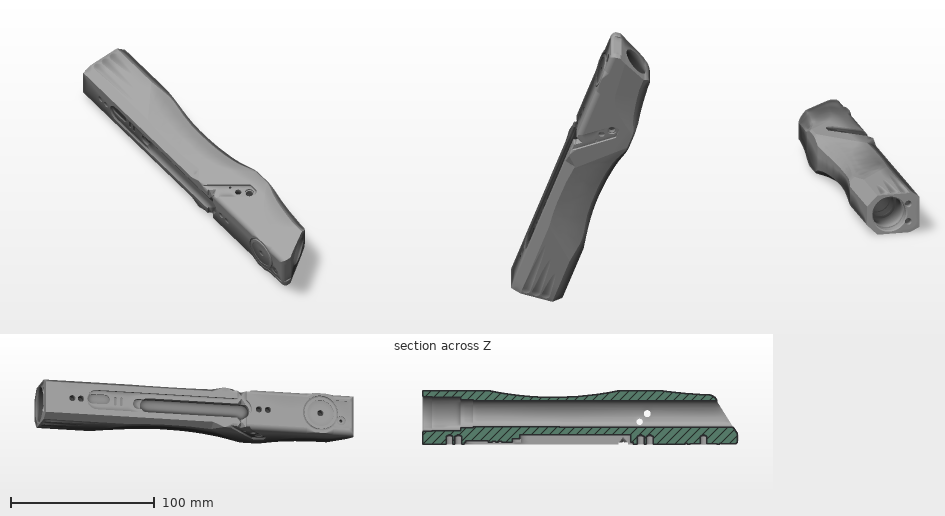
import cadquery as cq
import math

LENGTH = 220.2
DEPTH = 37.7
HEIGHT = 28.6
HALF_HEIGHT = HEIGHT / 2
CLEAR = 4.5

GRIP_START_X = 46.7
GRIP_END_X = 136.8
GRIP_MID_Y = 33.0
SHOULDER_X = 166.5
TAIL_MID = (181.7, 36.0)
TAIL_END = (197.3, 34.8)
SLANT_ROUND_MID = (203.0, 33.5)
SLANT_TOP = (205.7, 29.3)
NOSE_TOP = (217.0, 11.5)
NOSE_Y = 6.5
NOSE_RADIUS = 4.0

CHAMFER_SLOPE = 1.0
BLOCK_CREST_Y = 30.2
HUMP_CREST_Y = 36.1
CHAMFER_CREST = [
    (53.5, BLOCK_CREST_Y), (61.7, 29.0), (74.9, 26.2), (91.8, 24.9), (119.0, 27.0),
    (GRIP_END_X, 32.4), (146.5, HUMP_CREST_Y), (152.0, HUMP_CREST_Y), (158.5, HUMP_CREST_Y), (167.4, 32.8),
    (178.4, 29.5), (189.4, 27.5), (196.9, 26.6),
]
FLANK_SLOPE = 0.1
FLANK_START = (156.4, 38.8)
FLANK_CREST = [(158.5, 36.1), (167.4, 26.2), (177.3, 18.0), (189.0, 13.5)]
FLANK_END_Y = 10.8

WAIST_LOW_Y = 2.2
WAIST_LOW = (67.5, 113.0, 0.2)
WAIST_HIGH_Y = 38.5
WAIST_HIGH = (29.3, 149.0, 5.5)

CHAMFER_Y = 6.8
CHAMFER_Z = 3.3
CHAMFER_END_X = 119.4
CHAMFER_RUNOUT_X = 126.6
ROUND_Y = 4.0
ROUND_Z = 3.3
ROUND_START_X = 134.0
RUNOUT_LENGTH = 5.7
RUNOUT_SHARE = 0.05

BORE_Y = 21.4
BORE_DIAMETER = 17.8
COUNTERBORES = [(23.8, 6.5), (23.0, 26.5), (19.2, 35.2)]
BORE_MOUTH_DIAMETER = 25.5
END_HOLE_DIAMETER = 4.8
END_HOLE_Y = 8.0
END_HOLE_Z = 6.4
END_HOLE_DEPTH = 17.6

FLUTE_RADIUS = 5.7
FLUTE_DEPTH = 0.9
FLUTE_START_X = 4.5
FLUTES = [(24.0, 24.2), (17.0, 35.2), (9.7, 46.2)]

TRACK_X = (29.5, 146.7)
TRACK_WIDTH = 13.9
TRACK_DEPTH = 1.5
SLIDE_X = (67.8, 145.3)
SLIDE_WIDTH = 10.5
SLIDE_Z = (SLIDE_WIDTH - TRACK_WIDTH) / 2
SLIDE_DEPTH = 6.5
STEP_X = (62.5, 74.9)
STEP_WIDTH = 7.0
STEP_Z = -0.9
STEP_DEPTH = 4.0
WINDOW_X = (30.2, 45.8)
WINDOW_WIDTH = 6.8
WINDOW_Z = 0.9
WINDOW_DEPTH = 2.6
MARK_XS = (49.8, 54.2)
MARK_LENGTH = 6.2
MARK_WIDTH = 2.0
MARK_DEPTH = 2.2
PIN_HOLE_XS = (19.0, 25.0, 152.0, 158.3)
PIN_HOLE_DIAMETER = 4.5
PIN_HOLE_DEPTH = 5.5
DRILL_ANGLE = 118.0

GROOVE_X = 139.8
GROOVE_WIDTH = 6.4
DETENT_WIDTH = 5.7
DETENT_DEPTH = 2.6

DIAL_X = 195.8
DIAL_DIAMETER = 25.0
DIAL_RIM_DIAMETER = 23.0
DIAL_FACE_DIAMETER = 18.7
DIAL_GAP_DEPTH = 0.9
DIAL_FACE_DEPTH = 0.5
DIAL_PAD_HALF = 9.5
SCREW_X = 210.5
SCREW_Z = -4.6
SCREW_HEAD_DIAMETER = 6.4
SCREW_HEAD_DEPTH = 1.0
SCREW_SOCKET_DIAMETER = 2.18
SCREW_SOCKET_DEPTH = 3.3
CHANNEL_WIDTH = 19.4
CHANNEL_START_X = 204.8
CHANNEL_END_X = 219.5
CHANNEL_DEPTH = 0.5

LINK_OUTLINE = [(127.7, -4.5), (152.6, 26.0), (161.2, 26.0), (161.2, 20.0), (141.5, -4.5)]
LINK_CORNER = (161.2, 26.0)
LINK_CORNER_RADIUS = 3.0
LINK_DEPTH = 1.5
LINK_BOLT = (156.5, 21.5)
LINK_BOLT_DIAMETER = 4.8
LINK_BOLT_HEAD_DIAMETER = 6.4
LINK_BOLT_HEAD_DEPTH = 1.0
LINK_PIN = (151.3, 15.9)
LINK_PIN_DIAMETER = 4.5
LINK_STOP = (144.7, 14.0)
LINK_STOP_DIAMETER = 1.78
LINK_STOP_DEPTH = 2.2


def both_sides(cutter):
    """The cutter together with its mirror image across Z = 0."""
    return cutter.union(cutter.mirror("XY"))


def make_body():
    """Plain plate with the full front-to-back outline."""
    return (
        cq.Workplane("XY", origin=(0, 0, -HALF_HEIGHT))
        .moveTo(0, 0)
        .lineTo(0, DEPTH)
        .lineTo(GRIP_START_X, DEPTH)
        .threePointArc(((GRIP_START_X + GRIP_END_X) / 2, GRIP_MID_Y), (GRIP_END_X, DEPTH))
        .lineTo(SHOULDER_X, DEPTH)
        .threePointArc(TAIL_MID, TAIL_END)
        .threePointArc(SLANT_ROUND_MID, SLANT_TOP)
        .lineTo(*NOSE_TOP)
        .lineTo(LENGTH, NOSE_Y)
        .lineTo(LENGTH, NOSE_RADIUS)
        .tangentArcPoint((LENGTH - NOSE_RADIUS, 0), relative=False)
        .close()
        .extrude(HEIGHT)
    )


def sloped_trim(start, crest, end, slope):
    """Cutter above a surface that falls by slope per unit Y behind the crest line.

    The crest lies on the side face and runs from start through a smooth curve to end."""
    reach = DEPTH
    far_y = 2 * DEPTH + reach
    outline = [(x, y + reach) for x, y in [start] + crest + [end]]
    face = (
        cq.Workplane("XY", origin=(0, 0, HALF_HEIGHT - slope * reach))
        .moveTo(*outline[0])
        .lineTo(*outline[1])
        .spline(outline[2:-1], includeCurrent=True)
        .lineTo(*outline[-1])
        .lineTo(outline[-1][0], far_y)
        .lineTo(outline[0][0], far_y)
        .close()
    )
    travel = cq.Vector(0, -reach - CLEAR, slope * (reach + CLEAR))
    return cq.Workplane(cq.Solid.extrudeLinear(face.val(), [], travel))


def back_chamfers():
    start = (-CLEAR, BLOCK_CREST_Y)
    end = (LENGTH + CLEAR, CHAMFER_CREST[-1][1])
    return both_sides(sloped_trim(start, CHAMFER_CREST, end, CHAMFER_SLOPE))


def tail_flanks():
    return both_sides(sloped_trim(FLANK_START, FLANK_CREST, (LENGTH, FLANK_END_Y), FLANK_SLOPE))


def waist_hollows():
    """Cutters lofted between two shallow arc segments on each side."""
    def section(y, left_x, right_x, sag):
        middle_x = (left_x + right_x) / 2
        arc = cq.Edge.makeThreePointArc(
            cq.Vector(left_x, y, HALF_HEIGHT),
            cq.Vector(middle_x, y, HALF_HEIGHT - sag),
            cq.Vector(right_x, y, HALF_HEIGHT),
        )
        chord = cq.Edge.makeLine(arc.endPoint(), arc.startPoint())
        return cq.Wire.assembleEdges([arc, chord])

    low = section(WAIST_LOW_Y, *WAIST_LOW)
    high = section(WAIST_HIGH_Y, *WAIST_HIGH)
    return both_sides(cq.Workplane(cq.Solid.makeLoft([low, high], True)))


def corner_section(x, width_y, width_z, rounded):
    """Wire across a front corner that removes a flat bevel or leaves a rounded edge."""
    inner = cq.Vector(x, width_y, HALF_HEIGHT)
    outer = cq.Vector(x, 0, HALF_HEIGHT - width_z)
    tip = cq.Vector(x, -CLEAR, HALF_HEIGHT + CLEAR)
    if rounded:
        gap = 1 - math.sqrt(0.5)
        middle = cq.Vector(x, width_y * gap, HALF_HEIGHT - width_z * gap)
        cut = cq.Edge.makeThreePointArc(inner, middle, outer)
    else:
        cut = cq.Edge.makeLine(inner, outer)
    return cq.Wire.assembleEdges([cut, cq.Edge.makeLine(outer, tip), cq.Edge.makeLine(tip, inner)])


def corner_run(stations, rounded):
    """Corner cutter through (X, share of full size) stations."""
    width_y, width_z = (ROUND_Y, ROUND_Z) if rounded else (CHAMFER_Y, CHAMFER_Z)
    wires = [corner_section(x, share * width_y, share * width_z, rounded) for x, share in stations]
    return both_sides(cq.Workplane(cq.Solid.makeLoft(wires, True)))


def front_corners():
    pad_left = DIAL_X - DIAL_PAD_HALF
    pad_right = DIAL_X + DIAL_PAD_HALF
    chamfer = corner_run([(-CLEAR, 1), (CHAMFER_END_X, 1), (CHAMFER_RUNOUT_X, RUNOUT_SHARE)], False)
    before_dial = corner_run(
        [
            (ROUND_START_X - RUNOUT_LENGTH, RUNOUT_SHARE),
            (ROUND_START_X, 1),
            (pad_left, 1),
            (pad_left + RUNOUT_LENGTH, RUNOUT_SHARE),
        ],
        True,
    )
    after_dial = corner_run(
        [(pad_right - RUNOUT_LENGTH, RUNOUT_SHARE), (pad_right, 1), (LENGTH + CLEAR, 1)],
        True,
    )
    return chamfer.union(before_dial).union(after_dial)


def bore():
    end = cq.Workplane("YZ").center(BORE_Y, 0)
    cutter = end.circle(BORE_DIAMETER / 2).extrude(LENGTH)
    for diameter, depth in COUNTERBORES:
        cutter = cutter.union(end.circle(diameter / 2).extrude(depth))
    mouth_radius = BORE_MOUTH_DIAMETER / 2
    seat_radius = COUNTERBORES[0][0] / 2
    mouth = cq.Solid.makeCone(
        mouth_radius, seat_radius, mouth_radius - seat_radius, cq.Vector(0, BORE_Y, 0), cq.Vector(1, 0, 0)
    )
    holes = (
        cq.Workplane("YZ")
        .pushPoints([(END_HOLE_Y, END_HOLE_Z), (END_HOLE_Y, -END_HOLE_Z)])
        .circle(END_HOLE_DIAMETER / 2)
        .extrude(END_HOLE_DEPTH)
    )
    return cutter.union(cq.Workplane(mouth)).union(holes)


def grip_flutes():
    """Round-nosed tilted flutes that fade out along each side."""
    cutter = cq.Workplane()
    nose_z = HALF_HEIGHT + FLUTE_RADIUS - FLUTE_DEPTH
    for y, tip_x in FLUTES:
        nose = cq.Vector(FLUTE_START_X, y, nose_z)
        axis = cq.Vector(tip_x - FLUTE_START_X, 0, FLUTE_DEPTH)
        cutter = cutter.add(cq.Workplane("XY", origin=nose.toTuple()).sphere(FLUTE_RADIUS))
        cutter = cutter.add(cq.Solid.makeCylinder(FLUTE_RADIUS, axis.Length + CLEAR, nose, axis))
    return both_sides(cutter.combine())


def front_plane(x=0.0, z=0.0):
    """Workplane on the front face whose extrusions go into the body."""
    return cq.Workplane("XZ", origin=(x, 0, z)).transformed(rotate=(180, 0, 0))


def front_slot(span, width, depth, z=0.0):
    length = span[1] - span[0]
    return front_plane(sum(span) / 2, z).slot2D(length, width).extrude(depth)


def front_drilling(x, z, diameter, depth):
    return front_plane(x, z).circle(diameter / 2).extrude(depth)


def slide_track():
    cutter = front_slot(TRACK_X, TRACK_WIDTH, TRACK_DEPTH)
    cutter = cutter.union(front_slot(SLIDE_X, SLIDE_WIDTH, SLIDE_DEPTH, SLIDE_Z))
    cutter = cutter.union(front_slot(STEP_X, STEP_WIDTH, STEP_DEPTH, STEP_Z))
    cutter = cutter.union(front_slot(WINDOW_X, WINDOW_WIDTH, WINDOW_DEPTH, WINDOW_Z))
    for x in MARK_XS:
        cutter = cutter.union(front_plane(x).slot2D(MARK_LENGTH, MARK_WIDTH, 90).extrude(MARK_DEPTH))
    return cutter


def pin_holes():
    radius = PIN_HOLE_DIAMETER / 2
    point = radius / math.tan(math.radians(DRILL_ANGLE / 2))
    cutter = cq.Workplane()
    for x in PIN_HOLE_XS + (DIAL_X,):
        cutter = cutter.add(front_drilling(x, 0, PIN_HOLE_DIAMETER, PIN_HOLE_DEPTH))
        tip_base = cq.Vector(x, PIN_HOLE_DEPTH, 0)
        cutter = cutter.add(cq.Solid.makeCone(radius, 0, point, tip_base, cq.Vector(0, 1, 0)))
    return cutter.combine()


def cross_groove():
    cutter = front_plane(GROOVE_X).rect(GROOVE_WIDTH, HEIGHT).extrude(TRACK_DEPTH)
    outer_z = HALF_HEIGHT - LINK_DEPTH
    slide_top = SLIDE_Z + SLIDE_WIDTH / 2
    slide_bottom = SLIDE_Z - SLIDE_WIDTH / 2
    for z, side in ((outer_z, -1), (-outer_z, 1), (slide_top, 1), (slide_bottom, -1)):
        corner = cq.Plane((GROOVE_X, TRACK_DEPTH, z), xDir=(1, 0, 0), normal=(0, -side, 1))
        detent = (
            cq.Workplane(corner)
            .polyline([(-DETENT_WIDTH / 2, 0), (DETENT_WIDTH / 2, 0), (0, DETENT_DEPTH)])
            .close()
            .extrude(DETENT_DEPTH, both=True)
        )
        cutter = cutter.union(detent)
    return cutter


def dial_and_screw():
    gap = (
        front_plane(DIAL_X)
        .circle(DIAL_DIAMETER / 2)
        .circle(DIAL_RIM_DIAMETER / 2)
        .extrude(DIAL_GAP_DEPTH)
    )
    face = front_drilling(DIAL_X, 0, DIAL_FACE_DIAMETER, DIAL_FACE_DEPTH)
    head = front_drilling(SCREW_X, SCREW_Z, SCREW_HEAD_DIAMETER, SCREW_HEAD_DEPTH)
    socket = front_drilling(
        SCREW_X, SCREW_Z, SCREW_SOCKET_DIAMETER, SCREW_HEAD_DEPTH + SCREW_SOCKET_DEPTH
    )
    return gap.union(face).union(head).union(socket)


def end_channel():
    """Shallow channel that runs off the dial and down over the nose."""
    size_x = LENGTH - CHANNEL_START_X
    floor = cq.Workplane("XY").box(size_x, CHANNEL_DEPTH, CHANNEL_WIDTH, centered=(False, False, True))
    nose = cq.Workplane("XY").box(
        LENGTH - CHANNEL_END_X, DEPTH, CHANNEL_WIDTH, centered=(False, False, True)
    )
    around_dial = front_drilling(DIAL_X, 0, DIAL_DIAMETER, CHANNEL_DEPTH)
    floor = floor.translate((CHANNEL_START_X, 0, 0)).cut(around_dial)
    return floor.union(nose.translate((CHANNEL_END_X, 0, 0)))


def link_recesses():
    floor_z = HALF_HEIGHT - LINK_DEPTH
    floor = cq.Workplane("XY", origin=(0, 0, floor_z))
    recess = (
        floor.polyline(LINK_OUTLINE)
        .close()
        .extrude(LINK_DEPTH + CLEAR)
        .edges(cq.selectors.NearestToPointSelector(LINK_CORNER + (HALF_HEIGHT,)))
        .fillet(LINK_CORNER_RADIUS)
    )
    bolt_head = floor.center(*LINK_BOLT).circle(LINK_BOLT_HEAD_DIAMETER / 2).extrude(-LINK_BOLT_HEAD_DEPTH)
    stop = floor.center(*LINK_STOP).circle(LINK_STOP_DIAMETER / 2).extrude(-LINK_STOP_DEPTH)
    bolt = floor.center(*LINK_BOLT).circle(LINK_BOLT_DIAMETER / 2).extrude(-floor_z)
    pin = floor.center(*LINK_PIN).circle(LINK_PIN_DIAMETER / 2).extrude(-floor_z)
    return both_sides(recess.union(bolt_head).union(stop).union(bolt).union(pin))


CUTTERS = (
    waist_hollows,
    back_chamfers,
    tail_flanks,
    front_corners,
    bore,
    grip_flutes,
    slide_track,
    pin_holes,
    cross_groove,
    dial_and_screw,
    end_channel,
    link_recesses,
)

result = make_body()
for make_cutter in CUTTERS:
    result = result.cut(make_cutter())